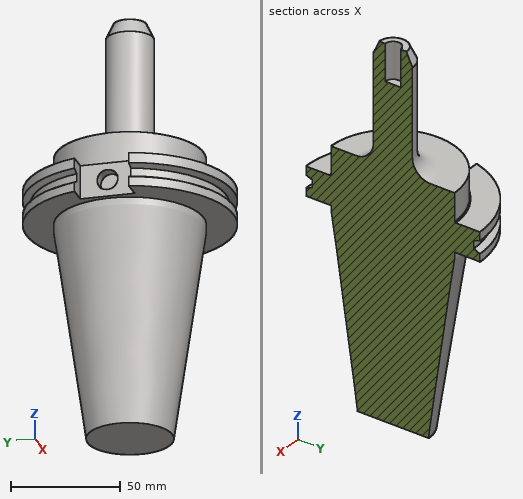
import cadquery as cq

height = 203.2
gauge_z = 101.5
flange_bottom_z = 105.0
flange_top_z = 121.3
collar_top_z = 137.2

gauge_radius = 35.0
taper_ratio = 7 / 24
shank_bottom_radius = gauge_radius - gauge_z * taper_ratio / 2

flange_radius = 49.2
groove_root_radius = 45.7
groove_mouth_bottom_z = 109.5
groove_root_bottom_z = 111.2
groove_root_top_z = 115.0
groove_mouth_top_z = 116.5

ledge_radius = 35.5
ledge_height = 0.5
collar_radius = 35.0

nose_radius = 11.2
nose_fillet_radius = 10.0
tip_radius = 7.7
tip_length = 7.3
bore_radius = 4.3
bore_depth = 20.3

slot_width = 25.8
left_slot_floor = 37.5
right_slot_floor = 35.2

slot_hole_radius = 4.9
slot_hole_depth = 6.0


def revolved_body():
    """Half-profile of the whole holder, turned around the Z axis."""
    ledge_top_z = flange_top_z + ledge_height
    profile = (
        cq.Workplane("XZ")
        .lineTo(shank_bottom_radius, 0)
        .lineTo(gauge_radius, gauge_z)
        .lineTo(gauge_radius, flange_bottom_z)
        .lineTo(flange_radius, flange_bottom_z)
        .lineTo(flange_radius, groove_mouth_bottom_z)
        .lineTo(groove_root_radius, groove_root_bottom_z)
        .lineTo(groove_root_radius, groove_root_top_z)
        .lineTo(flange_radius, groove_mouth_top_z)
        .lineTo(flange_radius, flange_top_z)
        .lineTo(ledge_radius, flange_top_z)
        .lineTo(ledge_radius, ledge_top_z)
        .lineTo(collar_radius, ledge_top_z)
        .lineTo(collar_radius, collar_top_z)
        .lineTo(nose_radius + nose_fillet_radius, collar_top_z)
        .radiusArc((nose_radius, collar_top_z + nose_fillet_radius), nose_fillet_radius)
        .lineTo(nose_radius, height - tip_length)
        .lineTo(tip_radius, height)
        .lineTo(0, height)
        .close()
    )
    return profile.revolve(360, (0, 0, 0), (0, 1, 0))


def drive_slot(side, floor):
    """Cutter for a slot through the flange; side is -1 or +1 along X."""
    return (
        cq.Workplane("XY", origin=(side * (floor + flange_radius / 2), 0, flange_bottom_z))
        .rect(flange_radius, slot_width)
        .extrude(flange_top_z - flange_bottom_z)
    )


def slot_hole():
    """Cutter for the round hole going inward from the left slot floor."""
    middle_z = (flange_bottom_z + flange_top_z) / 2
    return (
        cq.Workplane("YZ", origin=(-left_slot_floor, 0, middle_z))
        .circle(slot_hole_radius)
        .extrude(slot_hole_depth)
    )


def tip_bore():
    """Cutter for the blind bore in the end of the nose."""
    return cq.Workplane("XY", origin=(0, 0, height)).circle(bore_radius).extrude(-bore_depth)


result = (
    revolved_body()
    .cut(drive_slot(-1, left_slot_floor))
    .cut(drive_slot(1, right_slot_floor))
    .cut(slot_hole())
    .cut(tip_bore())
)